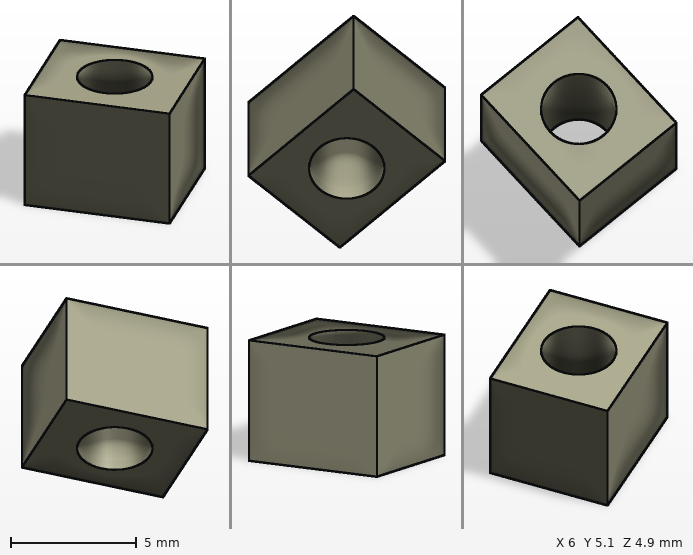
import cadquery as cq

length = 6.0
width = 5.1
height = 4.9

bore_diameter = 3.0

block = cq.Workplane("XY").box(length, width, height)
result = block.faces(">Z").workplane().hole(bore_diameter)